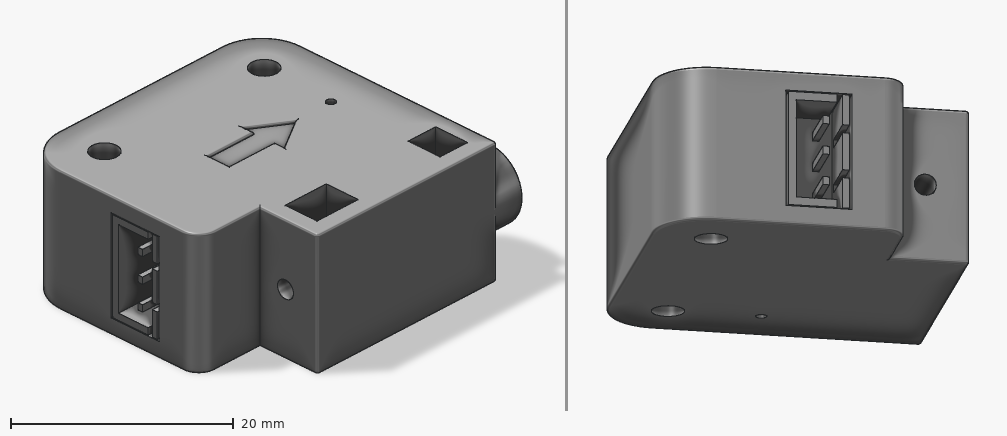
import cadquery as cq
WIDTH = 29.6
BODY_LENGTH = 31.0
HEIGHT = 14.6
MID_HEIGHT = HEIGHT / 2
NOTCH_X = 22.4
NOTCH_Y = 7.85
LARGE_CORNER_RADIUS = 5.0
SMALL_CORNER_RADIUS = 2.0
EDGE_RADIUS = 0.3

TOTAL_LENGTH = 34.4
TUBE_DIAMETER = 8.0
TUBE_X = WIDTH - TUBE_DIAMETER / 2
BORE_DIAMETER = 2.0

WINDOW_X = 23.8
WINDOW_WIDTH = 4.0
WINDOW_SPANS_Y = [(9.63, 14.93), (25.5, 29.05)]

MOUNT_DIAMETER = 3.0
MOUNT_X = 5.47
MOUNT_YS = [5.2, 25.8]
SENSOR_HOLE_DIAMETER = 1.0
ARROW_X = 13.95
SENSOR_HOLE_Y = 25.65

ARROW_BASE_Y = 10.9
ARROW_HEAD_Y = 16.75
ARROW_TIP_Y = 21.6
ARROW_HEAD_WIDTH = 6.05
ARROW_STEM_WIDTH = 3.2

POCKET_X = 11.32
POCKET_WIDTH = 6.05
POCKET_HEIGHT = 10.95
POCKET_DEPTH = 5.0
SIDE_GAP = 0.25
END_GAP = 0.1
BACK_WALL = 0.72
END_WALL = 0.75
KEY_WALL = 0.62
END_SLOT_WIDTH = 0.5
KEY_SLOT_HEIGHT = 0.75
KEY_SLOT_DEPTH = 4.3
KEY_SLOT_OFFSET = 2.15
PIN_X = 15.0
PIN_WIDTH = 0.6
PIN_HEIGHT = 0.75
PIN_PITCH = 2.9


def front_box(x_start, width, z_center, height, y_start, y_end):
    """Box given by its X start, its height about z_center and its Y span."""
    return (
        cq.Workplane("XY")
        .box(width, y_end - y_start, height, centered=(False, False, True))
        .translate((x_start, y_start, z_center))
    )


def make_body():
    body = (
        cq.Workplane("XY")
        .polyline([
            (0, 0),
            (NOTCH_X, 0),
            (NOTCH_X, NOTCH_Y),
            (WIDTH, NOTCH_Y),
            (WIDTH, BODY_LENGTH),
            (0, BODY_LENGTH),
        ])
        .close()
        .extrude(HEIGHT)
    )
    body = body.edges("|Z and <X").fillet(LARGE_CORNER_RADIUS)
    small_corner = cq.selectors.NearestToPointSelector((NOTCH_X, 0, MID_HEIGHT))
    body = body.edges(small_corner).fillet(SMALL_CORNER_RADIUS)
    return body.faces("<Z or >Z or >X").edges().fillet(EDGE_RADIUS)


def tube_section(diameter, y_start, y_end):
    return (
        cq.Workplane("XZ", origin=(TUBE_X, y_start, MID_HEIGHT))
        .circle(diameter / 2)
        .extrude(y_start - y_end)
    )


def add_windows_and_tube(body):
    for y_start, y_end in WINDOW_SPANS_Y:
        window = front_box(WINDOW_X, WINDOW_WIDTH, HEIGHT, HEIGHT, y_start, y_end)
        body = body.cut(window)
    tube = tube_section(TUBE_DIAMETER, WINDOW_SPANS_Y[0][0], TOTAL_LENGTH)
    tube = tube.faces(">Y").edges().fillet(EDGE_RADIUS)
    return body.union(tube).cut(tube_section(BORE_DIAMETER, 0, TOTAL_LENGTH))


def cut_vertical_holes(body):
    mounts = (
        cq.Workplane("XY")
        .pushPoints([(MOUNT_X, y) for y in MOUNT_YS])
        .circle(MOUNT_DIAMETER / 2)
        .extrude(HEIGHT)
    )
    sensor_hole = (
        cq.Workplane("XY")
        .center(ARROW_X, SENSOR_HOLE_Y)
        .circle(SENSOR_HOLE_DIAMETER / 2)
        .extrude(HEIGHT)
    )
    return body.cut(mounts).cut(sensor_hole)


def rounded_recess(corners):
    """Cutter for a convex recess in the top face; its rim is a quarter round mitred at the corners."""
    recess = cq.Workplane("XY", origin=(0, 0, HEIGHT)).polyline(corners).close().extrude(-EDGE_RADIUS)
    for (x_start, y_start), (x_end, y_end) in zip(corners, corners[1:] + corners[:1]):
        along = cq.Vector(x_end - x_start, y_end - y_start, 0)
        start = cq.Vector(x_start, y_start, HEIGHT - EDGE_RADIUS)
        rod = cq.Solid.makeCylinder(EDGE_RADIUS, 3 * along.Length, start - along, along)
        recess = recess.cut(cq.Workplane(rod))
    return recess


def cut_arrow(body):
    stem_left = ARROW_X - ARROW_STEM_WIDTH / 2
    stem_right = ARROW_X + ARROW_STEM_WIDTH / 2
    stem_top = ARROW_HEAD_Y + 2 * EDGE_RADIUS
    stem = rounded_recess([
        (stem_left, ARROW_BASE_Y),
        (stem_right, ARROW_BASE_Y),
        (stem_right, stem_top),
        (stem_left, stem_top),
    ])
    head = rounded_recess([
        (ARROW_X - ARROW_HEAD_WIDTH / 2, ARROW_HEAD_Y),
        (ARROW_X + ARROW_HEAD_WIDTH / 2, ARROW_HEAD_Y),
        (ARROW_X, ARROW_TIP_Y),
    ])
    return body.cut(stem).cut(head)


def make_connector():
    """Open-fronted shell with slotted walls."""
    shell_x = POCKET_X + SIDE_GAP
    shell_width = POCKET_WIDTH - 2 * SIDE_GAP
    shell_height = POCKET_HEIGHT - 2 * END_GAP
    key_wall_x = shell_x + shell_width - KEY_WALL
    cavity_x = shell_x + BACK_WALL

    shell = front_box(shell_x, shell_width, MID_HEIGHT, shell_height, 0, POCKET_DEPTH)
    cavity = front_box(
        cavity_x, key_wall_x - cavity_x, MID_HEIGHT, shell_height - 2 * END_WALL, 0, POCKET_DEPTH
    )
    end_slots = front_box(
        key_wall_x - END_SLOT_WIDTH, END_SLOT_WIDTH, MID_HEIGHT, shell_height, 0, POCKET_DEPTH
    )
    connector = shell.cut(cavity).cut(end_slots)
    for side in (-1, 1):
        slot_z = MID_HEIGHT + side * KEY_SLOT_OFFSET
        key_slot = front_box(key_wall_x, KEY_WALL, slot_z, KEY_SLOT_HEIGHT, 0, KEY_SLOT_DEPTH)
        connector = connector.cut(key_slot)
    return connector


def make_pins():
    pins = cq.Workplane("XY")
    for index in (-1, 0, 1):
        pin_z = MID_HEIGHT + index * PIN_PITCH
        pins = pins.union(
            front_box(PIN_X - PIN_WIDTH / 2, PIN_WIDTH, pin_z, PIN_HEIGHT, 0, POCKET_DEPTH)
        )
    return pins


body = add_windows_and_tube(make_body())
body = cut_arrow(cut_vertical_holes(body))
pocket = front_box(POCKET_X, POCKET_WIDTH, MID_HEIGHT, POCKET_HEIGHT, 0, POCKET_DEPTH)
result = body.cut(pocket).union(make_connector()).union(make_pins())